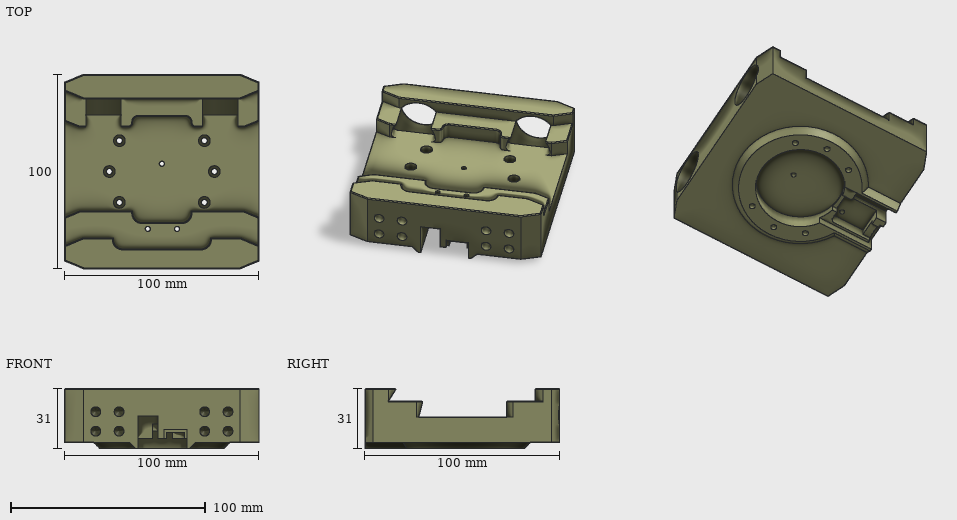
import cadquery as cq
import math

SIZE = 100.0
HALF = SIZE / 2
HEIGHT = 31.0
BASE_Z = 3.2
FLOOR_Z = 16.2
STEP_Z = 24.5
CORNER_CUT_X = 9.8
CORNER_SLOPE = math.tan(math.radians(22.5))
TOP_CHAMFER = 0.5

REAR_STEP_Y = 22.8
REAR_TOP_Y = 37.4
FRONT_STEP_Y = -20.4
FRONT_TOP_Y = -34.2
STEP_FLAT_HALF = 42.4
REAR_TOP_FLAT_HALF = 40.4
FRONT_TOP_FLAT_HALF = 40.6

STEP_UNDERCUT = 2.0
TOP_UNDERCUT = 3.8

REAR_NOTCH_HALF = 15.0
REAR_NOTCH_Y = 28.4
REAR_NOTCH_INNER_RADIUS = 3.0
REAR_NOTCH_OUTER_RADIUS = 2.4
FRONT_STEP_NOTCH_HALF = 15.0
FRONT_STEP_NOTCH_Y = -26.3
FRONT_TOP_NOTCH_HALF = 25.0
FRONT_TOP_NOTCH_Y = -39.8
FRONT_NOTCH_RADIUS = 5.0

BORE_DIAMETER = 23.1
BORE_RADIUS = BORE_DIAMETER / 2
BORE_X = 30.0
BORE_Z = 17.4
BORE_START_Y = 29.2
BORE_FOOT_RADIUS = 2.0

BOSS_RADIUS = 35.0
TONGUE_HALF = 17.0

RECESS_RADIUS = 23.0
RECESS_Z = 10.0
SWITCH_X = 0.3
MOUTH_HALF = 12.5
MOUTH_Z = 5.2
POCKET_CORNER_RADIUS = 2.0
POST_LEFT = -2.0
POST_RIGHT = 1.0
POST_BACK_Y = -44.2
ENTRY_BACK_Y = -28.0
ENTRY_Z = 16.7
SWITCH_LEFT = -4.7
SWITCH_RIGHT = 11.6
SWITCH_BACK_Y = -25.0
SWITCH_Z = 12.8
FRAME_BACK_Y = -48.2
FRAME_Z = 9.9
WINDOW_LEFT = 2.3
WINDOW_Z = 8.3
DUCT_RIGHT = 5.5
DUCT_Z = 9.1

SCREW_CIRCLE_RADIUS = 27.0
SCREW_ANGLES = (0, 36, 144, 180, 216, 324)
SCREW_DIAMETER = 3.0
SCREW_HEAD_DIAMETER = 6.0
SCREW_HEAD_DEPTH = 6.0

PIN_DIAMETER = 2.5
CENTRE_PIN_Y = 4.0
SWITCH_PIN_SPREAD = 7.5
SWITCH_PIN_Y = -29.5

SIDE_HOLE_DIAMETER = 5.0
SIDE_HOLE_RADIUS = SIDE_HOLE_DIAMETER / 2
SIDE_HOLE_DEPTH = 10.0
SIDE_HOLE_TIP_ANGLE = 31.0
SIDE_HOLE_TIP = SIDE_HOLE_RADIUS * math.tan(math.radians(SIDE_HOLE_TIP_ANGLE))
SIDE_HOLE_X = (22.0, 34.0)
SIDE_HOLE_Z = (9.0, 19.0)


def box(x0, x1, y0, y1, z0, z1):
    """Box between two opposite corners."""
    return cq.Workplane("XY").box(x1 - x0, y1 - y0, z1 - z0, centered=False).translate((x0, y0, z0))


def prism(points, z0, z1):
    """Vertical prism over a closed polygon."""
    return cq.Workplane("XY").workplane(offset=z0).polyline(points).close().extrude(z1 - z0)


def block(z0, z1):
    """Square block with its four corners cut at a slant."""
    x = HALF - CORNER_CUT_X
    y = HALF - CORNER_CUT_X * CORNER_SLOPE
    points = [(x, HALF), (HALF, y), (HALF, -y), (x, -HALF),
              (-x, -HALF), (-HALF, -y), (-HALF, y), (-x, HALF)]
    return prism(points, z0, z1)


def rail_tier(inner_y, flat_half, z0, z1):
    """Part of the block outside an inner edge whose ends slant outwards."""
    side = math.copysign(1, inner_y)
    end_y = inner_y + side * (HALF - flat_half) * CORNER_SLOPE
    outer_y = side * HALF
    points = [(-HALF, outer_y), (-HALF, end_y), (-flat_half, inner_y),
              (flat_half, inner_y), (HALF, end_y), (HALF, outer_y)]
    return prism(points, z0, z1).intersect(block(z0, z1))


def notch(half, open_y, bottom_y, radius, z0, z1):
    """Cutter for a rail notch with rounded inner corners."""
    cutter = box(-half, half, min(open_y, bottom_y), max(open_y, bottom_y), z0, z1)
    return cutter.edges("|Z").edges("<Y" if bottom_y < open_y else ">Y").fillet(radius)


def chamfer_top(body):
    """Chamfer every edge of the top face."""
    return body.faces(">Z").edges().chamfer(TOP_CHAMFER)


def rear_rail():
    step = rail_tier(REAR_STEP_Y, STEP_FLAT_HALF, FLOOR_Z, STEP_Z)
    step = step.cut(notch(REAR_NOTCH_HALF, REAR_STEP_Y, REAR_NOTCH_Y,
                          REAR_NOTCH_INNER_RADIUS, FLOOR_Z, STEP_Z))
    middle_z = (FLOOR_Z + STEP_Z) / 2
    for x in (-REAR_NOTCH_HALF, REAR_NOTCH_HALF):
        corner = cq.selectors.NearestToPointSelector((x, REAR_STEP_Y, middle_z))
        step = step.edges(corner).fillet(REAR_NOTCH_OUTER_RADIUS)
    top = rail_tier(REAR_TOP_Y, REAR_TOP_FLAT_HALF, FLOOR_Z, HEIGHT)
    return chamfer_top(step).union(chamfer_top(top))


def front_tier(inner_y, flat_half, notch_half, notch_y, lean, z0, z1):
    """Notched front rail tier whose inner wall leans back towards its foot."""
    tier = rail_tier(inner_y, flat_half, z0, z1)
    tier = tier.cut(notch(notch_half, inner_y, notch_y, FRONT_NOTCH_RADIUS, z0, z1))
    tier = chamfer_top(tier)
    undercut = (
        cq.Workplane("YZ")
        .polyline([(inner_y, z1 - TOP_CHAMFER), (inner_y, z0), (inner_y - lean, z0)])
        .close()
        .extrude(HALF, both=True)
    )
    return tier.cut(undercut)


def front_rail():
    step = front_tier(FRONT_STEP_Y, STEP_FLAT_HALF, FRONT_STEP_NOTCH_HALF, FRONT_STEP_NOTCH_Y,
                      STEP_UNDERCUT, FLOOR_Z, STEP_Z)
    top = front_tier(FRONT_TOP_Y, FRONT_TOP_FLAT_HALF, FRONT_TOP_NOTCH_HALF, FRONT_TOP_NOTCH_Y,
                     TOP_UNDERCUT, STEP_Z, HEIGHT)
    foot = rail_tier(FRONT_TOP_Y, FRONT_TOP_FLAT_HALF, FLOOR_Z, STEP_Z)
    return step.union(foot).union(top)


def boss():
    cone = cq.Workplane(cq.Solid.makeCone(BOSS_RADIUS - BASE_Z, BOSS_RADIUS, BASE_Z))
    foot_half = TONGUE_HALF - BASE_Z
    tongue = (
        cq.Workplane("XZ")
        .polyline([(-TONGUE_HALF, BASE_Z), (TONGUE_HALF, BASE_Z), (foot_half, 0), (-foot_half, 0)])
        .close()
        .extrude(HALF)
        .translate((SWITCH_X, 0, 0))
    )
    return cone.union(tongue)


def cut_rail_bore(body, x):
    """Cut a bore above the floor, with a rounded foot, then its full depth behind its start."""
    bore = cq.Workplane("XZ").center(x, BORE_Z).circle(BORE_RADIUS).extrude(-HALF)
    above_floor = bore.intersect(box(-HALF, HALF, REAR_STEP_Y, HALF, FLOOR_Z, HEIGHT))
    full_depth = bore.intersect(box(-HALF, HALF, BORE_START_Y, HALF, 0, HEIGHT))
    above_floor = above_floor.faces("<Z").edges("|Y").fillet(BORE_FOOT_RADIUS)
    return body.cut(above_floor).cut(full_depth)


def underside_cavity():
    """Round recess with the mouth, entry, switch pocket, window and duct that lead into it."""

    def rounded_pocket(x0, x1, y0, y1, z1):
        return box(x0, x1, y0, y1, MOUTH_Z, z1).edges("|Z and >Y").fillet(POCKET_CORNER_RADIUS)

    mouth_left = SWITCH_X - MOUTH_HALF
    mouth_right = SWITCH_X + MOUTH_HALF
    recess = cq.Workplane("XY").circle(RECESS_RADIUS).extrude(RECESS_Z)
    mouth = box(mouth_left, mouth_right, -HALF, 0, 0, MOUTH_Z)
    entry = rounded_pocket(mouth_left, POST_LEFT, -HALF, ENTRY_BACK_Y, ENTRY_Z)
    switch = rounded_pocket(SWITCH_LEFT, SWITCH_RIGHT, POST_BACK_Y, SWITCH_BACK_Y, SWITCH_Z)
    frame = box(POST_RIGHT, mouth_right, -HALF, FRAME_BACK_Y, MOUTH_Z, FRAME_Z)
    window = box(WINDOW_LEFT, SWITCH_RIGHT, -HALF, POST_BACK_Y, MOUTH_Z, WINDOW_Z)
    duct = box(SWITCH_LEFT, DUCT_RIGHT, POST_BACK_Y, 0, MOUTH_Z, DUCT_Z)
    return recess.union(mouth).union(entry).union(switch).union(frame).union(window).union(duct)


def vertical_holes():
    screw_points = []
    for angle in SCREW_ANGLES:
        a = math.radians(angle)
        screw_points.append((SCREW_CIRCLE_RADIUS * math.cos(a), SCREW_CIRCLE_RADIUS * math.sin(a)))
    pin_points = [(0, CENTRE_PIN_Y),
                  (SWITCH_X - SWITCH_PIN_SPREAD, SWITCH_PIN_Y),
                  (SWITCH_X + SWITCH_PIN_SPREAD, SWITCH_PIN_Y)]
    ground = cq.Workplane("XY")
    screws = ground.pushPoints(screw_points).circle(SCREW_DIAMETER / 2).extrude(HEIGHT)
    heads = (
        ground.workplane(offset=FLOOR_Z)
        .pushPoints(screw_points)
        .circle(SCREW_HEAD_DIAMETER / 2)
        .extrude(-SCREW_HEAD_DEPTH)
    )
    pins = ground.pushPoints(pin_points).circle(PIN_DIAMETER / 2).extrude(HEIGHT)
    return screws.union(heads).union(pins)


def side_hole(x, z):
    """Drilled hole with a conical tip, entering from the front face."""
    end_y = SIDE_HOLE_DEPTH - HALF
    return (
        cq.Workplane("XY")
        .polyline([(0, -HALF), (SIDE_HOLE_RADIUS, -HALF), (SIDE_HOLE_RADIUS, end_y),
                   (0, end_y + SIDE_HOLE_TIP)])
        .close()
        .revolve(360, (0, 0, 0), (0, 1, 0))
        .translate((x, 0, z))
    )


body = block(BASE_Z, FLOOR_Z).union(rear_rail()).union(front_rail()).union(boss())

for bore_x in (-BORE_X, BORE_X):
    body = cut_rail_bore(body, bore_x)

body = body.cut(underside_cavity()).cut(vertical_holes())

for hole_x in SIDE_HOLE_X:
    for hole_z in SIDE_HOLE_Z:
        body = body.cut(side_hole(-hole_x, hole_z)).cut(side_hole(hole_x, hole_z))

result = body